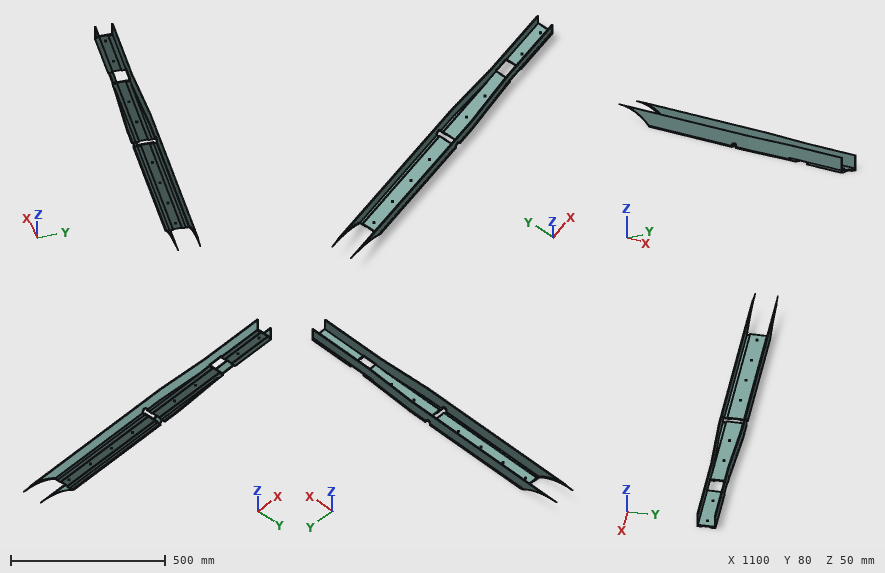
import cadquery as cq

LENGTH = 1100.0
WIDE_WIDTH = 80.0
NARROW_WIDTH = 60.0
HEIGHT = 50.0
WALL = 3.0

PITCHES_IN_LENGTH = 11
HOLE_PITCH = LENGTH / PITCHES_IN_LENGTH
HOLE_DIAMETER = 5.0
FIRST_HOLE_X = 1.75 * HOLE_PITCH
HOLE_COUNT = 10
TAPER_START_X = 6.5 * HOLE_PITCH
TAPER_END_X = 8.5 * HOLE_PITCH

SHEET_THICKNESS = WALL
FLOOR_HEIGHT = 7.0
TREAD_WIDTH = NARROW_WIDTH - 2 * WALL
GROOVE_WIDTH = 30.0
GROOVE_DEPTH = SHEET_THICKNESS

SCOOP_LENGTH = 150.0
SCOOP_RADIUS = (SCOOP_LENGTH**2 + HEIGHT**2) / (2 * HEIGHT)
SCOOP_CENTRE_Z = HEIGHT - SCOOP_RADIUS

ARCH_X = FIRST_HOLE_X + 4 * HOLE_PITCH
ARCH_WIDTH = 20.0
ARCH_HEIGHT = 14.0

WINDOW_START_X = 872.0
WINDOW_LENGTH = 56.0
WINDOW_HEIGHT = FLOOR_HEIGHT


def plan_prism(inset, height):
    """Tapered plan of the channel, moved in from its sides by inset."""
    wide = WIDE_WIDTH / 2 - inset
    narrow = NARROW_WIDTH / 2 - inset
    right_side = [(0, -wide), (TAPER_START_X, -wide), (TAPER_END_X, -narrow), (LENGTH, -narrow)]
    left_side = [(x, -y) for x, y in reversed(right_side)]
    return cq.Workplane("XY").polyline(right_side + left_side).close().extrude(height)


def lengthwise_bar(width, height, bottom_z):
    """Straight bar over the full length, centred between the walls."""
    bar = cq.Workplane("XY").box(LENGTH, width, height, centered=(False, True, False))
    return bar.translate((0, 0, bottom_z))


def walls():
    return plan_prism(0, HEIGHT).cut(plan_prism(WALL, HEIGHT)).cut(scoop())


def floor():
    sheet = plan_prism(WALL, SHEET_THICKNESS)
    tread = lengthwise_bar(TREAD_WIDTH, FLOOR_HEIGHT - SHEET_THICKNESS, SHEET_THICKNESS)
    groove = lengthwise_bar(GROOVE_WIDTH, GROOVE_DEPTH, 0)
    front_gap = cq.Workplane("XY").box(
        SCOOP_LENGTH, WIDE_WIDTH, HEIGHT, centered=(False, True, False)
    )
    return sheet.union(tread).cut(groove).cut(front_gap)


def scoop():
    """Cylinder across the front, flaring over each wall to bevel its curved edge."""
    inner = WIDE_WIDTH / 2 - WALL
    outer = WIDE_WIDTH / 2
    flared_radius = SCOOP_RADIUS + WALL
    profile = [
        (0, -outer),
        (flared_radius, -outer),
        (SCOOP_RADIUS, -inner),
        (SCOOP_RADIUS, inner),
        (flared_radius, outer),
        (0, outer),
    ]
    cutter = cq.Workplane("XY").polyline(profile).close().revolve(360, (0, 0, 0), (0, 1, 0))
    return cutter.translate((0, 0, SCOOP_CENTRE_Z))


def arch_passage():
    radius = ARCH_WIDTH / 2
    spring_z = ARCH_HEIGHT - radius
    return (
        cq.Workplane("XZ")
        .moveTo(ARCH_X - radius, 0)
        .lineTo(ARCH_X - radius, spring_z)
        .threePointArc((ARCH_X, ARCH_HEIGHT), (ARCH_X + radius, spring_z))
        .lineTo(ARCH_X + radius, 0)
        .close()
        .extrude(WIDE_WIDTH / 2, both=True)
    )


def window_passage():
    window = cq.Workplane("XY").box(
        WINDOW_LENGTH, WIDE_WIDTH, WINDOW_HEIGHT, centered=(False, True, False)
    )
    return window.translate((WINDOW_START_X, 0, 0))


def floor_holes():
    stations = [(FIRST_HOLE_X + i * HOLE_PITCH, 0) for i in range(HOLE_COUNT)]
    return cq.Workplane("XY").pushPoints(stations).circle(HOLE_DIAMETER / 2).extrude(FLOOR_HEIGHT)


result = (
    walls()
    .union(floor())
    .cut(arch_passage())
    .cut(window_passage())
    .cut(floor_holes())
)